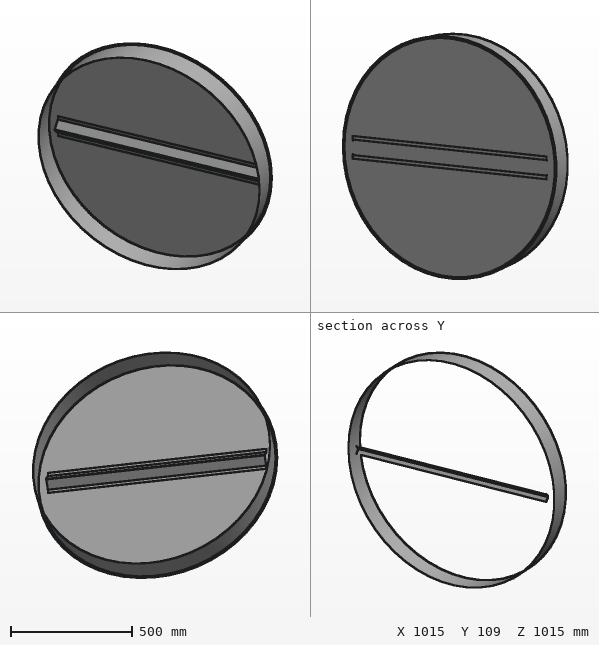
import cadquery as cq

depth = 109.0
sheet = 1.0

disc_diameter = 1011.0

rim_outer_diameter = 1001.0
rim_inner_diameter = 1000.0
flange_diameter = 1015.0
bend_radius = 1.0

stiffener_length = 922.0
stiffener_width = 95.0
ridge_width = 65.0
crest_width = 2.0

back_y = depth / 2
disc_face_y = back_y - sheet
front_y = -depth / 2


def make_disc():
    plane = cq.Workplane("XZ", origin=(0, back_y, 0))
    return plane.circle(disc_diameter / 2).extrude(sheet)


def make_rim():
    inner_radius = rim_inner_diameter / 2
    outer_radius = rim_outer_diameter / 2
    flange_radius = flange_diameter / 2
    flange_face_y = disc_face_y - sheet
    section = (
        cq.Workplane("XY")
        .moveTo(inner_radius, front_y)
        .lineTo(outer_radius, front_y)
        .lineTo(outer_radius, flange_face_y - bend_radius)
        .radiusArc((outer_radius + bend_radius, flange_face_y), bend_radius)
        .lineTo(flange_radius, flange_face_y)
        .lineTo(flange_radius, disc_face_y)
        .lineTo(inner_radius, disc_face_y)
        .close()
    )
    return section.revolve(360, (0, 0, 0), (0, 1, 0))


def make_stiffener():
    half_width = stiffener_width / 2
    half_ridge = ridge_width / 2
    half_crest = crest_width / 2
    rise = half_ridge - half_crest
    foot_y = disc_face_y - sheet
    crest_y = foot_y - rise
    profile = [
        (disc_face_y, -half_width),
        (foot_y, -half_width),
        (foot_y, -half_ridge),
        (crest_y, -half_crest),
        (crest_y, half_crest),
        (foot_y, half_ridge),
        (foot_y, half_width),
        (disc_face_y, half_width),
        (disc_face_y, half_ridge),
        (crest_y + sheet, half_crest),
        (crest_y + sheet, -half_crest),
        (disc_face_y, -half_ridge),
    ]
    sketch = cq.Workplane("YZ").polyline(profile).close()
    return sketch.extrude(stiffener_length / 2, both=True)


disc = make_disc()
rim = make_rim()
stiffener = make_stiffener()

result = cq.Compound.makeCompound([disc.val(), rim.val(), stiffener.val()])